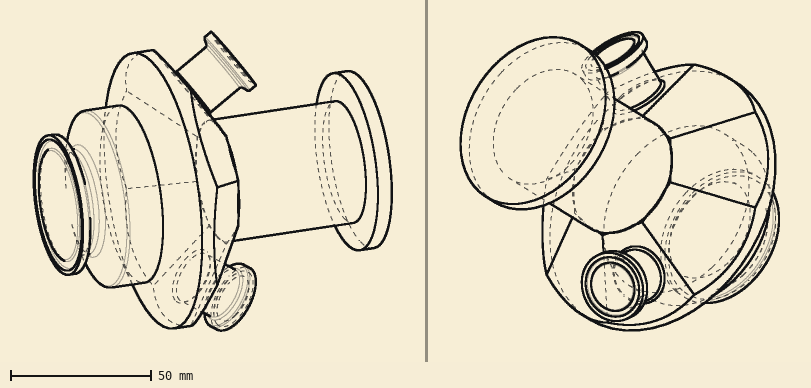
import cadquery as cq
import math


CLAMP_SLOPE = math.radians(20)

MAIN_RIM_RADIUS = 50.4 / 2
MAIN_RIM_THICKNESS = 2.8
MAIN_RIM_ROUND = 0.7
MAIN_NECK_RADIUS = 38.0 / 2
MAIN_NECK_ROUND = 2.0
MAIN_GROOVE_RADIUS = 23.7
MAIN_GROOVE_DEPTH = 2.39
MAIN_GROOVE_ROOT_ROUND = 1.55
MAIN_LIP_ROUND = 0.85

NOZZLE_TILT = 35.0
NOZZLE_FACE_DISTANCE = 81.55
NOZZLE_RIM_RADIUS = 25.0 / 2
NOZZLE_RIM_THICKNESS = 3.3
NOZZLE_RIM_ROUND = 0.6
NOZZLE_TUBE_RADIUS = 19.0 / 2
NOZZLE_NECK_ROUND = 1.0
NOZZLE_GROOVE_RADIUS = 21.8 / 2
NOZZLE_GROOVE_DEPTH = 1.5
NOZZLE_GROOVE_ROOT_ROUND = 1.0
NOZZLE_LIP_ROUND = 0.55
NOZZLE_FOOT_SIZE = 1.0
NOZZLE_ROOT_DEPTH = 4.0

GROOVE_OUTER_SLOPE = math.radians(47)
GROOVE_INNER_SLOPE = math.radians(62)

COLLAR_RADIUS = 64.0 / 2
COLLAR_START = 14.6
COLLAR_END = 27.9
COLLAR_ROUND = 1.0
BODY_RADIUS = 99.5 / 2
BODY_CONE_END = 36.15
BODY_END = 60.75
FACET_COUNT = 8
FACET_TOP_APOTHEM = 21.1
SPIGOT_RADIUS = 21.65
SPIGOT_LENGTH = 2.0

TUBE_RADIUS = 44.0 / 2
TUBE_END = 115.2
FLANGE_RADIUS = 64.0 / 2
FLANGE_EDGE_THICKNESS = 5.35
FLANGE_BACK_RISE = 0.8


def revolved(profile):
    """Revolve a profile around the Y axis, rounding each corner by its own radius."""
    outline = cq.Workplane("XY")
    count = len(profile)
    for index, (radius, distance, rounding) in enumerate(profile):
        corner = cq.Vector(radius, distance)
        enter = corner
        if rounding:
            before = cq.Vector(*profile[index - 1][:2])
            after = cq.Vector(*profile[(index + 1) % count][:2])
            back = (before - corner).normalized()
            ahead = (after - corner).normalized()
            half_angle = back.getAngle(ahead) / 2
            setback = rounding / math.tan(half_angle)
            to_middle = rounding / math.sin(half_angle) - rounding
            enter = corner + back * setback
            middle = corner + (back + ahead).normalized() * to_middle
            leave = corner + ahead * setback
        if index == 0:
            outline = outline.moveTo(enter.x, enter.y)
        else:
            outline = outline.lineTo(enter.x, enter.y)
        if rounding:
            outline = outline.threePointArc((middle.x, middle.y), (leave.x, leave.y))
    return outline.close().revolve(360, (0, 0, 0), (0, 1, 0))


def ferrule_profile(rim_radius, rim_thickness, rim_round, neck_radius, neck_round,
                    groove_radius, groove_depth, root_round, lip_round):
    """Clamp ferrule with its face at distance 0, from the face centre out and back to the neck."""
    valley_radius = groove_radius - groove_depth / math.tan(GROOVE_OUTER_SLOPE)
    lip_radius = valley_radius - groove_depth / math.tan(GROOVE_INNER_SLOPE)
    neck_start = rim_thickness + (rim_radius - neck_radius) * math.tan(CLAMP_SLOPE)
    return [
        (0, 0, 0),
        (lip_radius, 0, lip_round),
        (valley_radius, groove_depth, root_round),
        (groove_radius, 0, 0),
        (rim_radius, 0, 0),
        (rim_radius, rim_thickness, rim_round),
        (neck_radius, neck_start, neck_round),
    ]


def main_turning():
    """Main ferrule, collar, cone and full-diameter band, up to the plane of the body end."""
    neck_end = COLLAR_START - (COLLAR_RADIUS - MAIN_NECK_RADIUS) * math.tan(CLAMP_SLOPE)
    profile = ferrule_profile(
        MAIN_RIM_RADIUS, MAIN_RIM_THICKNESS, MAIN_RIM_ROUND, MAIN_NECK_RADIUS, MAIN_NECK_ROUND,
        MAIN_GROOVE_RADIUS, MAIN_GROOVE_DEPTH, MAIN_GROOVE_ROOT_ROUND, MAIN_LIP_ROUND)
    profile += [
        (MAIN_NECK_RADIUS, neck_end, MAIN_NECK_ROUND),
        (COLLAR_RADIUS, COLLAR_START, COLLAR_ROUND),
        (COLLAR_RADIUS, COLLAR_END, 0),
        (BODY_RADIUS, BODY_CONE_END, 0),
        (BODY_RADIUS, BODY_END, 0),
        (0, BODY_END, 0),
    ]
    return revolved(profile)


def facet_pyramid():
    """Octagonal pyramid, parallel to the nozzle faces, that widens from the body end to Y = 0."""
    base_apothem = FACET_TOP_APOTHEM + BODY_END / math.tan(math.radians(NOZZLE_TILT))
    return (
        cq.Workplane("XZ", origin=(0, BODY_END, 0))
        .polygon(FACET_COUNT, 2 * FACET_TOP_APOTHEM, circumscribed=True)
        .workplane(offset=BODY_END)
        .polygon(FACET_COUNT, 2 * base_apothem, circumscribed=True)
        .loft(ruled=True)
    )


def spigot():
    """Short round seat for the tube, standing just proud of the facets."""
    return cq.Workplane("XZ", origin=(0, BODY_END, 0)).circle(SPIGOT_RADIUS).extrude(SPIGOT_LENGTH)


def facet_distance():
    """Distance from the origin to each facet plane, along the facet normal."""
    tilt = math.radians(NOZZLE_TILT)
    return BODY_END * math.cos(tilt) + FACET_TOP_APOTHEM * math.sin(tilt)


def nozzle():
    """Side nozzle in its own frame: clamp face at Y = 0, body facet at the end of the tube."""
    facet = NOZZLE_FACE_DISTANCE - facet_distance()
    foot_radius = NOZZLE_TUBE_RADIUS + NOZZLE_FOOT_SIZE
    profile = ferrule_profile(
        NOZZLE_RIM_RADIUS, NOZZLE_RIM_THICKNESS, NOZZLE_RIM_ROUND, NOZZLE_TUBE_RADIUS, NOZZLE_NECK_ROUND,
        NOZZLE_GROOVE_RADIUS, NOZZLE_GROOVE_DEPTH, NOZZLE_GROOVE_ROOT_ROUND, NOZZLE_LIP_ROUND)
    profile += [
        (NOZZLE_TUBE_RADIUS, facet - NOZZLE_FOOT_SIZE, 0),
        (foot_radius, facet, 0),
        (foot_radius, facet + NOZZLE_ROOT_DEPTH, 0),
        (0, facet + NOZZLE_ROOT_DEPTH, 0),
    ]
    return revolved(profile)


def valve_body():
    """Faceted turning with its tube seat and the two opposite side nozzles, as one solid."""
    body = main_turning().intersect(facet_pyramid()).union(spigot())
    for turn in (0, 180):
        side_nozzle = (
            nozzle()
            .rotate((0, 0, 0), (1, 0, 0), 180)
            .translate((0, NOZZLE_FACE_DISTANCE, 0))
            .rotate((0, 0, 0), (1, 0, 0), NOZZLE_TILT)
            .rotate((0, 0, 0), (0, 1, 0), turn)
        )
        body = body.union(side_nozzle)
    return body


def flanged_tube():
    """Round tube from the body end to a flange whose back rises slightly toward the tube."""
    flange_edge = TUBE_END - FLANGE_EDGE_THICKNESS
    return revolved([
        (0, BODY_END, 0),
        (TUBE_RADIUS, BODY_END, 0),
        (TUBE_RADIUS, flange_edge - FLANGE_BACK_RISE, 0),
        (FLANGE_RADIUS, flange_edge, 0),
        (FLANGE_RADIUS, TUBE_END, 0),
        (0, TUBE_END, 0),
    ])


result = cq.Compound.makeCompound([valve_body().val(), flanged_tube().val()])